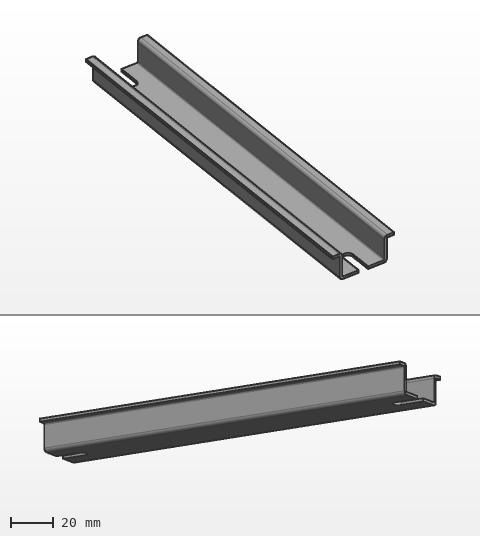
import cadquery as cq

length = 200
width = 35.0
height = 15.0

thickness = 1.5
channel_width = 27.0
inner_radius = 0.5
outer_radius = 1.8

slot_width = 5.5
slot_depth = 15.0


def rail():
    """Floor, two walls and two outward flanges, built as one half and its mirror image."""
    wall_outside = channel_width / 2
    wall_inside = wall_outside - thickness
    flange_bottom = height - thickness
    half = (
        cq.Workplane("YZ", origin=(-length / 2, 0, 0))
        .lineTo(wall_outside - outer_radius, 0)
        .radiusArc((wall_outside, outer_radius), -outer_radius)
        .lineTo(wall_outside, flange_bottom - inner_radius)
        .radiusArc((wall_outside + inner_radius, flange_bottom), inner_radius)
        .lineTo(width / 2, flange_bottom)
        .lineTo(width / 2, height)
        .lineTo(wall_inside + outer_radius, height)
        .radiusArc((wall_inside, height - outer_radius), -outer_radius)
        .lineTo(wall_inside, thickness + inner_radius)
        .radiusArc((wall_inside - inner_radius, thickness), inner_radius)
        .lineTo(0, thickness)
        .close()
        .extrude(length)
    )
    return half.union(half.mirror("XZ"))


def mounting_slot(end_x):
    """Round-ended cutter centred on one end of the rail, so it reaches equally far in and out."""
    return (
        cq.Workplane("XY")
        .center(end_x, 0)
        .slot2D(2 * slot_depth, slot_width)
        .extrude(thickness)
    )


result = rail()
for end_x in (-length / 2, length / 2):
    result = result.cut(mounting_slot(end_x))